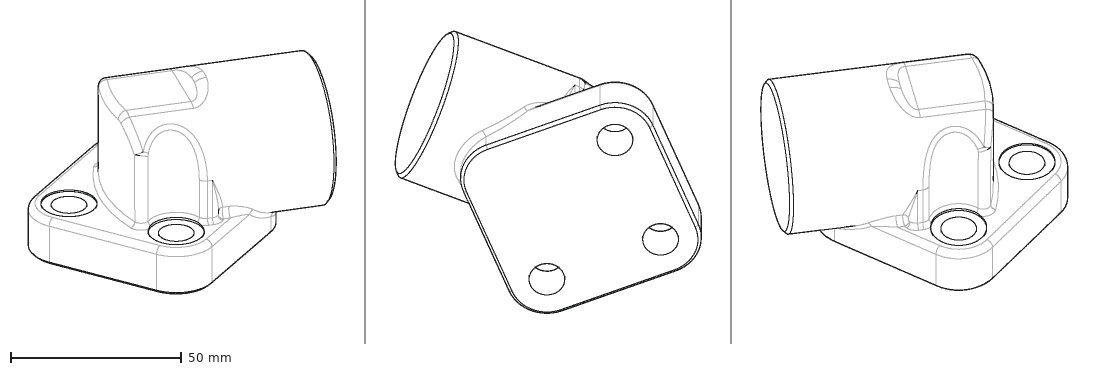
import cadquery as cq
import math

flange_height = 15.0
flange_corner_radius = 12.0
hole_spacing = 36.0
hole_offset = hole_spacing / math.sqrt(2)
flange_side = hole_spacing + 2 * flange_corner_radius
flange_turn = 45.0
flange_top_fillet = 2.0
flange_bottom_chamfer = 1.0

hole_diameter = 10.5
spotface_diameter = 16.5
spotface_depth = 0.5

barrel_radius = 46.0 / 2
barrel_axis_height = 29.0
barrel_top = barrel_axis_height + barrel_radius
barrel_end_y = 50.0
barrel_end_chamfer = 1.0

front_y = -14.4
front_radius = 53.0
front_fillet = 2.5
front_stock = 15.0
blank_front_y = front_y - front_stock

block_back_y = 14.3
block_corner_fillet = 2.5

flat_height = 49.0
ramp_foot_y = 11.05
ramp_angle = 45.0
ramp_foot_fillet = 5.0
flat_rim_fillet = 5.0

scallop_radius = 9.0
scallop_rim_fillet = 2.3

barrel_blend_radius = 2.0
block_blend_radius = 1.5

stub_start_y = 12.0
stub_end_y = 45.0

tolerance = 0.02


def select_edges(solid, test):
    return solid.newObject([edge for edge in solid.edges().vals() if test(edge)])


def sample_points(edge):
    return [edge.positionAt(fraction) for fraction in (0, 0.5, 1)]


def on_barrel(point):
    distance = math.hypot(point.x, point.z - barrel_axis_height)
    return abs(distance - barrel_radius) < tolerance


def on_scallop(point):
    distance = math.hypot(abs(point.x) - hole_offset, point.y)
    return abs(distance - scallop_radius) < tolerance


def at_height(point, height):
    return abs(point.z - height) < tolerance


def barrel_cylinder(start_y, end_y):
    return (
        cq.Workplane("XZ", origin=(0, start_y, barrel_axis_height))
        .circle(barrel_radius)
        .extrude(start_y - end_y)
    )


def make_flange():
    plate = cq.Workplane("XY").rect(flange_side, flange_side).extrude(flange_height)
    plate = plate.edges("|Z").fillet(flange_corner_radius)
    plate = plate.rotate((0, 0, 0), (0, 0, 1), flange_turn)
    plate = plate.faces(">Z").edges().fillet(flange_top_fillet)
    return plate.faces("<Z").edges().chamfer(flange_bottom_chamfer)


def make_flange_with_barrel_blend():
    """Flange joined to the underside of the barrel, with the seam between them filleted."""
    underside = cq.Workplane("XY").box(
        2 * barrel_radius, barrel_end_y, barrel_axis_height, centered=(True, False, False)
    )
    stub = barrel_cylinder(stub_start_y, stub_end_y).intersect(underside)
    joined = make_flange().union(stub)

    def is_seam(edge):
        middle = edge.positionAt(0.5)
        between_ends = stub_start_y + tolerance < middle.y < stub_end_y - tolerance
        below_flange_top = middle.z < flange_height + tolerance
        return on_barrel(middle) and between_ends and below_flange_top

    return select_edges(joined, is_seam).fillet(barrel_blend_radius)


def make_barrel():
    """Barrel with the flat, its ramp and the rounded rim around them."""
    barrel = barrel_cylinder(blank_front_y, barrel_end_y)
    barrel = barrel.faces(">Y").chamfer(barrel_end_chamfer)

    ramp_rise = 2 * (barrel_top - flat_height)
    ramp_run = ramp_rise / math.tan(math.radians(ramp_angle))
    cutter = (
        cq.Workplane("YZ")
        .moveTo(blank_front_y, flat_height)
        .lineTo(ramp_foot_y, flat_height)
        .lineTo(ramp_foot_y + ramp_run, flat_height + ramp_rise)
        .lineTo(blank_front_y, flat_height + ramp_rise)
        .close()
        .extrude(barrel_radius, both=True)
    )
    foot = cq.selectors.NearestToPointSelector((0, ramp_foot_y, flat_height))
    cutter = cutter.edges(foot).fillet(ramp_foot_fillet)
    barrel = barrel.cut(cutter)

    def is_rim(edge):
        points = sample_points(edge)
        above_flat = all(point.z > flat_height - tolerance for point in points)
        runs_back = points[1].y > blank_front_y + tolerance
        return above_flat and runs_back and all(on_barrel(point) for point in points)

    return select_edges(barrel, is_rim).fillet(flat_rim_fillet)


def make_block():
    length = block_back_y - blank_front_y
    block = (
        cq.Workplane("XY")
        .center(0, block_back_y - length / 2)
        .rect(2 * barrel_radius, length)
        .extrude(barrel_axis_height)
    )
    return block.edges("|Z and >Y").fillet(block_corner_fillet)


def round_off_front(body):
    """Trim the front to a gentle arc and fillet its edge along the barrel and the flat."""
    envelope = (
        cq.Workplane("XY").center(0, front_y + front_radius).circle(front_radius).extrude(barrel_top)
    )
    body = body.intersect(envelope)

    front_edge_limit_y = front_y / 2

    def is_front_edge(edge):
        in_front = max(edge.startPoint().y, edge.endPoint().y) < front_edge_limit_y
        return in_front and edge.Center().z > barrel_axis_height + tolerance

    return select_edges(body, is_front_edge).fillet(front_fillet)


def cut_scallops(body):
    """Cut a clearance beside each side bolt and round its rim."""
    for side in (-1, 1):
        scallop = cq.Workplane("XY").center(side * hole_offset, 0).circle(scallop_radius)
        body = body.cut(scallop.extrude(barrel_top))

    def is_scallop_rim(edge):
        points = sample_points(edge)
        on_base = all(at_height(point, 0) for point in points)
        return not on_base and all(on_scallop(point) for point in points)

    return select_edges(body, is_scallop_rim).fillet(scallop_rim_fillet)


def blend_block_foot(body):
    """Fillet the foot of the block where it stands on the flange."""

    def is_block_foot(edge):
        points = sample_points(edge)
        return all(
            at_height(point, flange_height)
            and abs(point.x) < barrel_radius + tolerance
            and front_y - tolerance < point.y < block_back_y - tolerance
            for point in points
        )

    return select_edges(body, is_block_foot).fillet(block_blend_radius)


def drill_holes(body):
    for x, y in ((-hole_offset, 0), (hole_offset, 0), (0, -hole_offset)):
        hole = cq.Workplane("XY").center(x, y).circle(hole_diameter / 2).extrude(flange_height)
        spotface = (
            cq.Workplane("XY", origin=(x, y, flange_height - spotface_depth))
            .circle(spotface_diameter / 2)
            .extrude(spotface_depth + block_blend_radius)
        )
        body = body.cut(hole).cut(spotface)
    return body


elbow = make_barrel().union(make_block())
elbow = round_off_front(elbow)
elbow = cut_scallops(elbow)
part = make_flange_with_barrel_blend().union(elbow)
part = blend_block_foot(part)
result = drill_holes(part)